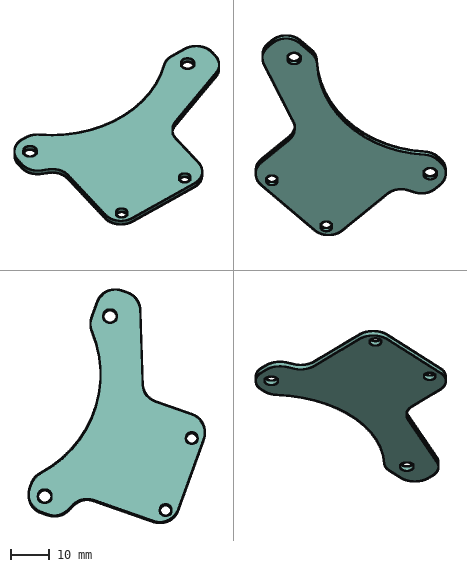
import cadquery as cq
import math

thickness = 1.5
corner_radius = 5.0

arm_hole_diameter = 3.5
arm_hole_spacing = 50.0
plate_hole_diameter = 3.0
plate_hole_spacing = 20.0
plate_hole_x = 30.5
plate_hole_center_y = -8.0

left_x = -4.39
right_margin = 3.0
right_x = plate_hole_x + right_margin
plate_top_y = 7.88
plate_bottom_y = -21.78

arm_top_y = 32.30
arm_bottom_y = -29.26
arm_tip_x = 5.58
upper_arm_root_x = 15.17
lower_arm_root_x = 9.0

relief_radius = 29.5
relief_center_x = -arm_hole_spacing / 2
relief_deepest_x = relief_center_x + relief_radius
relief_end_y = math.sqrt(relief_radius**2 - (left_x - relief_center_x) ** 2)


def make_plate():
    """Extrude the sharp-cornered outline, then round all of its corners alike."""
    outline = (
        cq.Workplane("XY")
        .moveTo(left_x, arm_top_y)
        .lineTo(arm_tip_x, arm_top_y)
        .lineTo(upper_arm_root_x, plate_top_y)
        .lineTo(right_x, plate_top_y)
        .lineTo(right_x, plate_bottom_y)
        .lineTo(lower_arm_root_x, plate_bottom_y)
        .lineTo(arm_tip_x, arm_bottom_y)
        .lineTo(left_x, arm_bottom_y)
        .lineTo(left_x, -relief_end_y)
        .threePointArc((relief_deepest_x, 0), (left_x, relief_end_y))
        .close()
    )
    return outline.extrude(thickness).edges("|Z").fillet(corner_radius)


def make_hole_pair(x, center_y, spacing, diameter):
    """Cutters for two through holes, one above the other in Y."""
    centers = [(x, center_y - spacing / 2), (x, center_y + spacing / 2)]
    return cq.Workplane("XY").pushPoints(centers).circle(diameter / 2).extrude(thickness)


arm_holes = make_hole_pair(0, 0, arm_hole_spacing, arm_hole_diameter)
plate_holes = make_hole_pair(plate_hole_x, plate_hole_center_y, plate_hole_spacing, plate_hole_diameter)

result = make_plate().cut(arm_holes).cut(plate_holes)